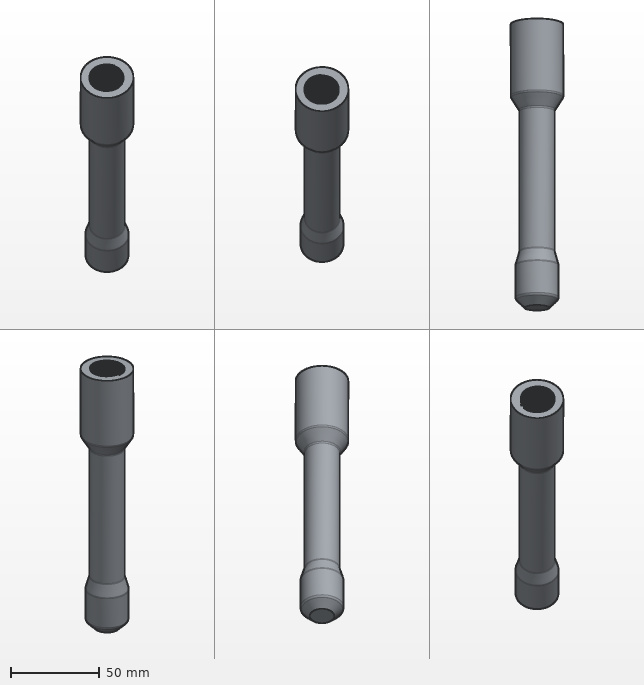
import cadquery as cq

length = 165.0
socket_diameter = 30.0
shank_diameter = 20.1
head_diameter = 24.6
tip_diameter = 13.9

tip_cone_top = 5.3
head_top = 24.9
shank_bottom = 32.8
shank_top = 115.0
socket_bottom = 123.0
blend_radius = 2.0

minor_diameter = 18.5
major_diameter = 20.1
thread_pitch = 1.5
hole_depth = 29.7
groove_turns = 17.9
groove_root_width = thread_pitch / 8
groove_mouth_width = 0.75 * thread_pitch
cut_overlap = 0.2


def make_body():
    """Revolve the stepped outline and round its convex and concave corners."""
    corners = [
        (0, 0),
        (tip_diameter / 2, 0),
        (head_diameter / 2, tip_cone_top),
        (head_diameter / 2, head_top),
        (shank_diameter / 2, shank_bottom),
        (shank_diameter / 2, shank_top),
        (socket_diameter / 2, socket_bottom),
        (socket_diameter / 2, length),
        (0, length),
    ]
    body = cq.Workplane("XZ").polyline(corners).close().revolve(360, (0, 0), (0, 1))
    for height in (tip_cone_top, head_top, shank_bottom, shank_top, socket_bottom):
        edge_box = cq.selectors.BoxSelector(
            (-socket_diameter, -socket_diameter, height - blend_radius),
            (socket_diameter, socket_diameter, height + blend_radius),
        )
        body = body.edges("%CIRCLE").edges(edge_box).fillet(blend_radius)
    return body


def make_thread_groove():
    """Helical trapezoid whose sides open towards the bore and run out past the top face."""
    start = length - groove_turns * thread_pitch
    groove_height = length + thread_pitch - start
    minor_radius = minor_diameter / 2
    major_radius = major_diameter / 2
    flank_slope = (groove_mouth_width - groove_root_width) / 2 / (major_radius - minor_radius)
    inner_half_width = groove_mouth_width / 2 + cut_overlap * flank_slope
    root_half_width = groove_root_width / 2
    inner_radius = minor_radius - cut_overlap
    path = cq.Wire.makeHelix(thread_pitch, groove_height, minor_radius, cq.Vector(0, 0, start))
    profile = cq.Workplane("XZ").polyline([
        (inner_radius, start - inner_half_width),
        (major_radius, start - root_half_width),
        (major_radius, start + root_half_width),
        (inner_radius, start + inner_half_width),
    ]).close()
    return profile.sweep(cq.Workplane(obj=path), isFrenet=True)


bore = cq.Workplane("XY", origin=(0, 0, length - hole_depth)).circle(minor_diameter / 2).extrude(hole_depth)
result = make_body().cut(make_thread_groove()).cut(bore)